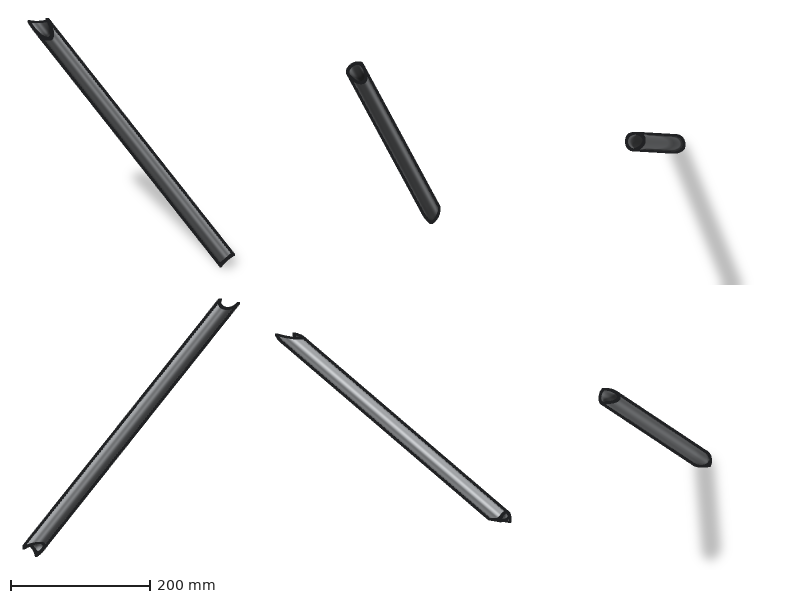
import cadquery as cq
import math

TUBE_RADIUS = 12.7
WALL = 1.25
AXIS_RUN_X = -0.9418
AXIS_RUN_Y = -0.3132

CROSSING_HEADING = -1.1
CROSSING_RISE = 6.65

FRONT_MITRE = (467.8, 170.6, 2.7)
REAR_MITRE = (470.8, -65.0, 8.1)

STOCK_LENGTH = 520.0
CUTTER_SIZE = 200.0

axis = cq.Vector(AXIS_RUN_X, AXIS_RUN_Y, 1).normalized()


def direction(heading, rise):
    """Unit vector at `heading` degrees from +X and `rise` degrees above horizontal."""
    heading = math.radians(heading)
    rise = math.radians(rise)
    return cq.Vector(
        math.cos(rise) * math.cos(heading),
        math.cos(rise) * math.sin(heading),
        math.sin(rise),
    )


def stock_tube():
    """Hollow tube that starts at the lower node and runs past the upper one."""
    ring = cq.Workplane(cq.Plane(origin=(0, 0, 0), normal=axis.toTuple()))
    return ring.circle(TUBE_RADIUS).circle(TUBE_RADIUS - WALL).extrude(STOCK_LENGTH)


def crossing_tube():
    """Solid bar on the lower node; its skin shapes the lower cope."""
    along = direction(CROSSING_HEADING, CROSSING_RISE)
    start = along * (-CUTTER_SIZE / 2)
    bar = cq.Solid.makeCylinder(TUBE_RADIUS, CUTTER_SIZE, start, along)
    return cq.Workplane(obj=bar)


def mitre_block(distance, heading, rise):
    """Block that removes everything beyond one upper mitre plane."""
    origin = axis * distance
    normal = axis - direction(heading, rise)
    face = cq.Workplane(cq.Plane(origin=origin.toTuple(), normal=normal.toTuple()))
    return face.rect(CUTTER_SIZE, CUTTER_SIZE).extrude(CUTTER_SIZE)


result = stock_tube().cut(crossing_tube())
for mitre in (FRONT_MITRE, REAR_MITRE):
    result = result.cut(mitre_block(*mitre))